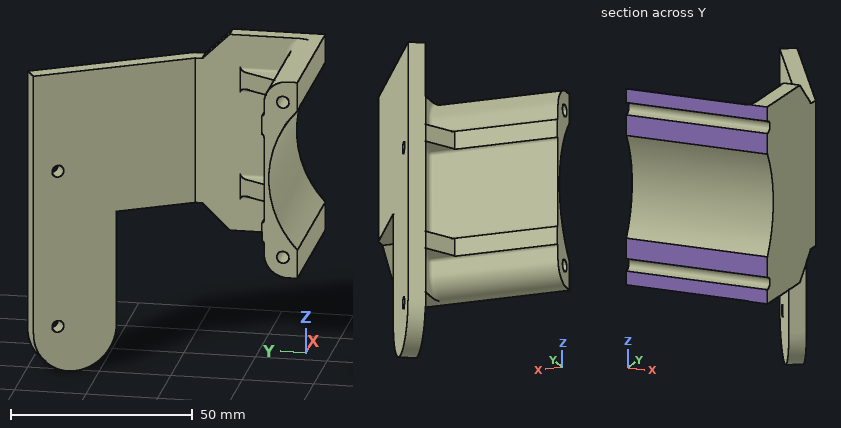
import cadquery as cq
import math

WIDTH = 42.5
DEPTH = 78.8
HEIGHT = 94.3
PLATE = 4.9
OVERLAP = 0.9
CLAMP_HOLE_DIAMETER = 3.4
ARM_HOLE_DIAMETER = 3.3
HOLE_SPACING = 45.0

CLAMP_HEIGHT = 56.8
CLAMP_THICKNESS = 9.3
CORNER_RADIUS = 6.5
CLAMP_HOLE_Y = 4.1
SADDLE_HALF_HEIGHT = 20.2
SADDLE_DEPTH = 8.0
CHAMFER_START_Y = 25.9
CHAMFER_LENGTH = 7.6
CHAMFER_DROP = 7.45

RIB_WIDTH = 4.9
RIB_OFFSET = 10.5
PAD_HEIGHT = 0.6
RIB_LENGTH = 13.0
FILLET = 1.1
TRIM = 2 * FILLET

BEND_ANGLE = 30
BEND_Y = 36.8
LEG_WIDTH = 24.2
ARM_HOLE_INSET = 7.2
LOWER_ARM_HOLE_Z = 13.5

CLAMP_BOTTOM = HEIGHT - CLAMP_HEIGHT
CLAMP_MIDDLE = HEIGHT - CLAMP_HEIGHT / 2
PLATE_INNER_X = WIDTH - PLATE
PAD_Y = CLAMP_THICKNESS + PAD_HEIGHT
RIB_TIP_Y = PAD_Y + RIB_LENGTH
ARM_TOP = HEIGHT - CHAMFER_DROP
ARM_BOTTOM = CLAMP_BOTTOM + CHAMFER_DROP
CHAMFER_END_Y = CHAMFER_START_Y + CHAMFER_LENGTH
INNER_BEND_Y = BEND_Y - PLATE * math.tan(math.radians(BEND_ANGLE / 2))
ARM_OUTER_LENGTH = (DEPTH - BEND_Y) / math.cos(math.radians(BEND_ANGLE))
ARM_LENGTH = ARM_OUTER_LENGTH - PLATE * math.tan(math.radians(BEND_ANGLE / 2))


def make_clamp_wall():
    """Wall across the full width with its two back corners rounded."""
    wall = cq.Workplane("XY").box(WIDTH, CLAMP_THICKNESS, CLAMP_HEIGHT, centered=False)
    wall = wall.edges("|X and >Y").fillet(CORNER_RADIUS)
    return wall.translate((0, 0, CLAMP_BOTTOM))


def make_plate_blank():
    """Oversized side plate that leaves room for the fillet run-out."""
    return cq.Workplane("XY", origin=(PLATE_INNER_X, 0, CLAMP_BOTTOM - TRIM)).box(
        PLATE, INNER_BEND_Y, CLAMP_HEIGHT + 2 * TRIM, centered=False
    )


def make_bracket_envelope():
    """Outline along X, with two chamfers that narrow the plate to the arm height."""
    return (
        cq.Workplane("YZ")
        .moveTo(0, CLAMP_BOTTOM)
        .lineTo(CHAMFER_START_Y, CLAMP_BOTTOM)
        .lineTo(CHAMFER_END_Y, ARM_BOTTOM)
        .lineTo(INNER_BEND_Y, ARM_BOTTOM)
        .lineTo(INNER_BEND_Y, ARM_TOP)
        .lineTo(CHAMFER_END_Y, ARM_TOP)
        .lineTo(CHAMFER_START_Y, HEIGHT)
        .lineTo(0, HEIGHT)
        .close()
        .extrude(WIDTH)
    )


def make_rib_blank(bottom):
    """Full-width block, cut later to the sloping rib and its pad."""
    return cq.Workplane("XY", origin=(0, CLAMP_THICKNESS - OVERLAP, bottom)).box(
        PLATE_INNER_X + OVERLAP, RIB_TIP_Y - CLAMP_THICKNESS + OVERLAP, RIB_WIDTH, centered=False
    )


def make_rib_envelope():
    """Outline along Z: pad height at the free end, then the rib slope up to the plate."""
    rib_reach = RIB_LENGTH * math.tan(math.radians(BEND_ANGLE))
    return (
        cq.Workplane("XY", origin=(0, 0, CLAMP_BOTTOM))
        .moveTo(0, 0)
        .lineTo(0, PAD_Y)
        .lineTo(PLATE_INNER_X - rib_reach, PAD_Y)
        .lineTo(PLATE_INNER_X, RIB_TIP_Y)
        .lineTo(PLATE_INNER_X, INNER_BEND_Y)
        .lineTo(WIDTH, INNER_BEND_Y)
        .lineTo(WIDTH, 0)
        .close()
        .extrude(CLAMP_HEIGHT)
    )


def make_arm():
    """Bent arm with a round-ended leg hanging from its far end."""
    radius = LEG_WIDTH / 2
    leg_start = ARM_LENGTH - LEG_WIDTH
    lean = math.radians(BEND_ANGLE)
    inner_face = cq.Plane(
        origin=(PLATE_INNER_X, INNER_BEND_Y, 0),
        xDir=(-math.sin(lean), math.cos(lean), 0),
        normal=(math.cos(lean), math.sin(lean), 0),
    )
    arm = (
        cq.Workplane(inner_face)
        .moveTo(0, ARM_TOP)
        .lineTo(0, ARM_BOTTOM)
        .lineTo(leg_start, ARM_BOTTOM)
        .lineTo(leg_start, radius)
        .threePointArc((leg_start + radius, 0), (ARM_LENGTH, radius))
        .lineTo(ARM_LENGTH, ARM_TOP)
        .close()
        .extrude(PLATE)
    )
    holes = (
        cq.Workplane(inner_face)
        .pushPoints(
            [
                (ARM_LENGTH - ARM_HOLE_INSET, LOWER_ARM_HOLE_Z),
                (ARM_LENGTH - ARM_HOLE_INSET, LOWER_ARM_HOLE_Z + HOLE_SPACING),
            ]
        )
        .circle(ARM_HOLE_DIAMETER / 2)
        .extrude(PLATE)
    )
    return arm.cut(holes)


def make_bend():
    """Wedge that mitres the outer faces of the side plate and the arm."""
    lean = math.radians(BEND_ANGLE)
    arm_outer_x = PLATE_INNER_X + PLATE * math.cos(lean)
    arm_outer_y = INNER_BEND_Y + PLATE * math.sin(lean)
    return (
        cq.Workplane("XY", origin=(0, 0, ARM_BOTTOM))
        .moveTo(PLATE_INNER_X, INNER_BEND_Y)
        .lineTo(WIDTH, INNER_BEND_Y)
        .lineTo(WIDTH, BEND_Y)
        .lineTo(arm_outer_x, arm_outer_y)
        .close()
        .extrude(ARM_TOP - ARM_BOTTOM)
    )


def make_saddle_cut():
    """Cylindrical hollow along X in the front of the clamp wall."""
    return (
        cq.Workplane("YZ")
        .moveTo(0, CLAMP_MIDDLE - SADDLE_HALF_HEIGHT)
        .threePointArc((SADDLE_DEPTH, CLAMP_MIDDLE), (0, CLAMP_MIDDLE + SADDLE_HALF_HEIGHT))
        .close()
        .extrude(WIDTH)
    )


def make_clamp_holes():
    """Two through holes along X in the thick ends of the clamp wall."""
    return (
        cq.Workplane("YZ")
        .pushPoints([(CLAMP_HOLE_Y, CLAMP_MIDDLE + side * HOLE_SPACING / 2) for side in (-1, 1)])
        .circle(CLAMP_HOLE_DIAMETER / 2)
        .extrude(WIDTH)
    )


bracket = make_clamp_wall().union(make_plate_blank())
rib_bottoms = (CLAMP_BOTTOM + RIB_OFFSET, HEIGHT - RIB_OFFSET - RIB_WIDTH)
for rib_bottom in rib_bottoms:
    bracket = bracket.union(make_rib_blank(rib_bottom))

corner_zone = cq.selectors.BoxSelector(
    (PLATE_INNER_X - FILLET / 2, FILLET, CLAMP_BOTTOM - FILLET),
    (PLATE_INNER_X + FILLET / 2, RIB_TIP_Y - FILLET, HEIGHT + FILLET),
)
rib_root_zone = cq.selectors.BoxSelector(
    (OVERLAP, CLAMP_THICKNESS - FILLET / 2, CLAMP_BOTTOM + RIB_OFFSET - FILLET),
    (PLATE_INNER_X - OVERLAP, CLAMP_THICKNESS + FILLET / 2, HEIGHT - RIB_OFFSET + FILLET),
)
rib_roots = bracket.edges("|X").edges(rib_root_zone)
bracket = bracket.edges(corner_zone).add(rib_roots).fillet(FILLET)
bracket = bracket.intersect(make_bracket_envelope()).intersect(make_rib_envelope())

result = (
    bracket.union(make_bend())
    .union(make_arm())
    .cut(make_saddle_cut())
    .cut(make_clamp_holes())
)